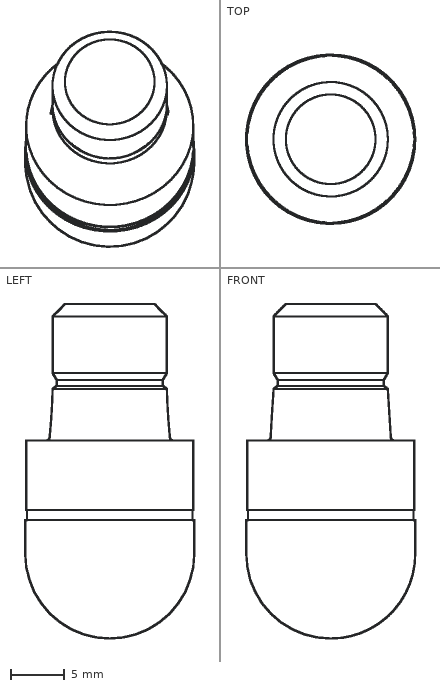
import cadquery as cq

total_height = 31.4
groove_top = 24.9
groove_floor_top = 24.27
groove_floor_bottom = 23.7
groove_bottom = 23.42
shoulder_height = 18.6
relief_top = 12.05
joint_height = 11.1

dome_radius = 7.95
collar_radius = 7.85
relief_radius = 7.8
shank_radius = 5.37
groove_radius = 5.0
taper_base_radius = 5.65

tip_chamfer = 1.15
root_fillet = 0.3

root_radius = taper_base_radius + root_fillet
root_height = shoulder_height + root_fillet
arc_midpoint_offset = root_fillet * 0.5 ** 0.5


def make_stud():
    """Turned stud: collar with a shallow relief, tapered neck, groove and chamfered shank."""
    return (
        cq.Workplane("XZ")
        .moveTo(0, joint_height)
        .lineTo(relief_radius, joint_height)
        .lineTo(relief_radius, relief_top)
        .lineTo(collar_radius, relief_top)
        .lineTo(collar_radius, shoulder_height)
        .lineTo(root_radius, shoulder_height)
        .threePointArc(
            (root_radius - arc_midpoint_offset, root_height - arc_midpoint_offset),
            (taper_base_radius, root_height),
        )
        .lineTo(shank_radius, groove_bottom)
        .lineTo(groove_radius, groove_floor_bottom)
        .lineTo(groove_radius, groove_floor_top)
        .lineTo(shank_radius, groove_top)
        .lineTo(shank_radius, total_height - tip_chamfer)
        .lineTo(shank_radius - tip_chamfer, total_height)
        .lineTo(0, total_height)
        .close()
        .revolve(360, (0, 0, 0), (0, 1, 0))
    )


def make_dome_cap():
    """Solid cap: a short cylinder ending in a hemisphere, seated flat against the stud."""
    arc_mid = dome_radius * 0.5 ** 0.5
    return (
        cq.Workplane("XZ")
        .moveTo(0, 0)
        .threePointArc((arc_mid, dome_radius - arc_mid), (dome_radius, dome_radius))
        .lineTo(dome_radius, joint_height)
        .lineTo(0, joint_height)
        .close()
        .revolve(360, (0, 0, 0), (0, 1, 0))
    )


stud = make_stud()
dome_cap = make_dome_cap()

result = cq.Compound.makeCompound([stud.val(), dome_cap.val()])